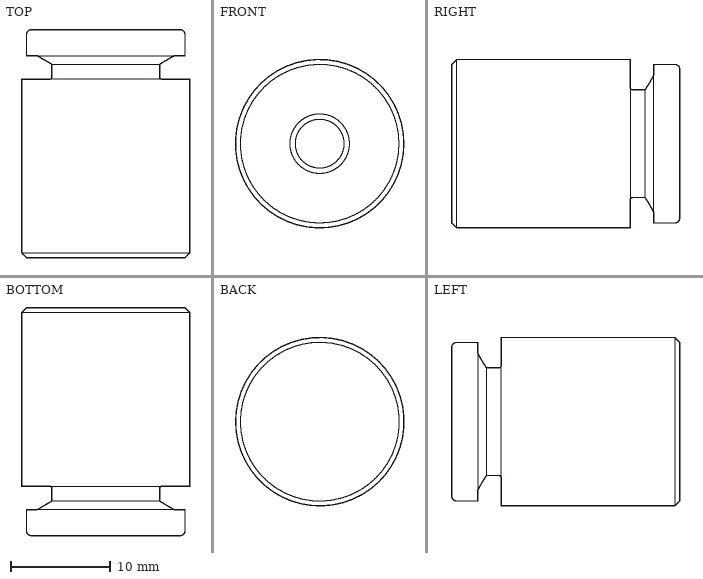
import cadquery as cq

total_length = 23.0
body_length = 18.0
neck_end = 19.5
head_start = 20.35

body_diameter = 17.0
neck_diameter = 10.9
head_diameter = 16.0
cone_diameter = 13.8
bore_diameter = 4.92
countersink_diameter = 6.0

edge_chamfer = 0.5
head_edge_radius = 0.5
neck_root_radius = 0.2
bore_depth = 10.0


def make_knob():
    """Body, neck, cone and head revolved about the Y axis."""
    body_radius = body_diameter / 2
    neck_radius = neck_diameter / 2
    head_radius = head_diameter / 2
    profile = (
        cq.Workplane("XY")
        .moveTo(0, 0)
        .lineTo(body_radius - edge_chamfer, 0)
        .lineTo(body_radius, edge_chamfer)
        .lineTo(body_radius, body_length)
        .lineTo(neck_radius + neck_root_radius, body_length)
        .radiusArc((neck_radius, body_length + neck_root_radius), neck_root_radius)
        .lineTo(neck_radius, neck_end)
        .lineTo(cone_diameter / 2, head_start)
        .lineTo(head_radius, head_start)
        .lineTo(head_radius, total_length)
        .lineTo(0, total_length)
        .close()
    )
    knob = profile.revolve(360, (0, 0, 0), (0, 1, 0))
    return knob.faces(">Y").edges().fillet(head_edge_radius)


def make_bore():
    """Blind bore with a 45 degree countersink at the front face."""
    bore_radius = bore_diameter / 2
    countersink_radius = countersink_diameter / 2
    profile = (
        cq.Workplane("XY")
        .moveTo(0, 0)
        .lineTo(countersink_radius, 0)
        .lineTo(bore_radius, countersink_radius - bore_radius)
        .lineTo(bore_radius, bore_depth)
        .lineTo(0, bore_depth)
        .close()
    )
    return profile.revolve(360, (0, 0, 0), (0, 1, 0))


result = make_knob().cut(make_bore())